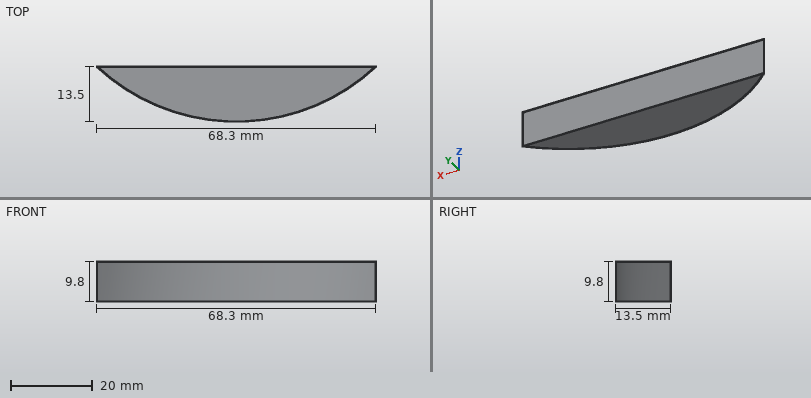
import cadquery as cq
import math

arc_radius = 50.0
flat_offset = 36.5
thickness = 9.8

half_chord = math.sqrt(arc_radius**2 - flat_offset**2)


def circular_segment():
    """Circular segment with its arc centred on the Z axis and bulging towards -Y."""
    return (
        cq.Workplane("XY")
        .moveTo(-half_chord, -flat_offset)
        .threePointArc((0, -arc_radius), (half_chord, -flat_offset))
        .close()
        .extrude(thickness)
    )


result = circular_segment()